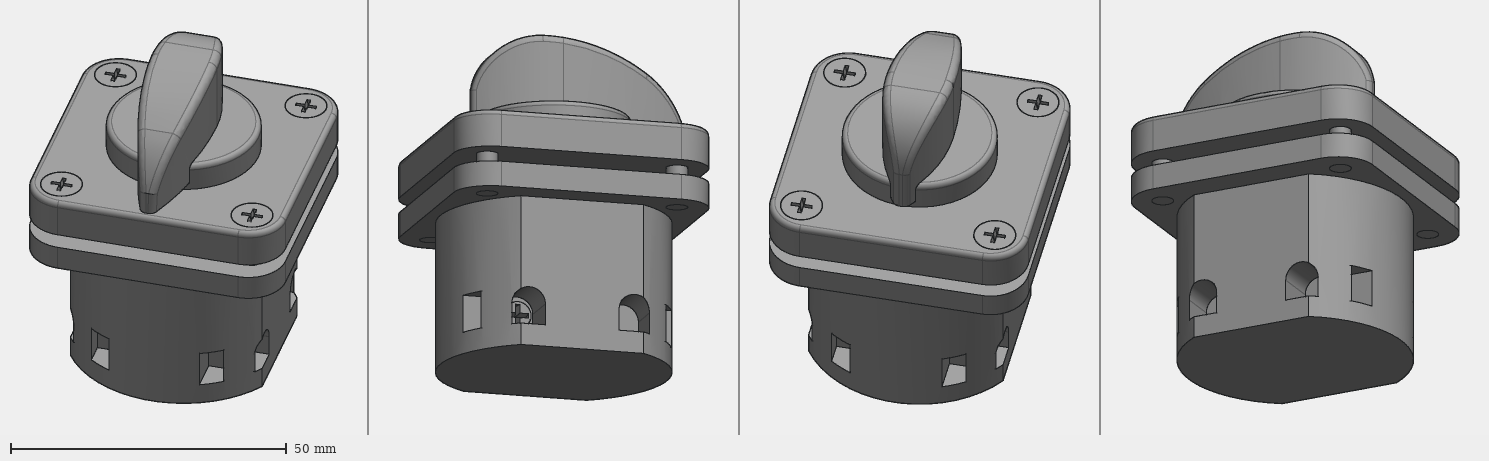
import cadquery as cq
import math

DRUM_TOP = 27.85
FLANGE_THICKNESS = 4.6
FLANGE_TOP = DRUM_TOP + FLANGE_THICKNESS
GAP = 2.8
PANEL_BOTTOM = FLANGE_TOP + GAP
PANEL_THICKNESS = 7.0
PANEL_TOP = PANEL_BOTTOM + PANEL_THICKNESS
DISC_HEIGHT = 5.25
KNOB_CLEARANCE = 1.4
KNOB_BOTTOM = PANEL_TOP + KNOB_CLEARANCE
KNOB_TOP = 61.75

PLATE_SIDE = 48.0
CORNER_RADIUS = 7.0
SCREW_OFFSET = 17.95
SHANK_RADIUS = 2.0
HEAD_RADIUS = 3.75
HEAD_CLEARANCE = 0.05
HEAD_HEIGHT = 2.5
EDGE_FILLET = 1.0

DRUM_RADIUS = 21.5
DRUM_FLATS = 36.2
SHAFT_BOTTOM_RADIUS = 3.95
SHAFT_TOP_RADIUS = 3.0

OPENING_BOTTOM = 4.0
OPENING_HEIGHT = 6.9
OPENING_DEPTH = 8.0
WINDOW_WIDTH = 3.95
WINDOW_OFFSET = 10.5
ARCH_WIDTH = 6.05
ARCH_OFFSET = 10.0
TERMINAL_HEIGHT = 7.4
TERMINAL_RADIUS = 2.55
TERMINAL_LENGTH = 0.6

CROSS_DEPTH = 1.85
CORNER_CROSS_LENGTH = 3.8
CORNER_CROSS_WIDTH = 0.7
TERMINAL_CROSS_LENGTH = 4.0
TERMINAL_CROSS_WIDTH = 0.8

DISC_RADIUS = 14.1
KNOB_HALF_WIDTH = 6.25
KNOB_BACK = 15.75
KNOB_LENGTH_AND_PANEL = 48.5
KNOB_FRONT = -(KNOB_LENGTH_AND_PANEL - PLATE_SIDE / 2)
BACK_SIDE_RADIUS = 26.55
FRONT_SIDE_RADIUS = 61.75
KNOB_FILLET = 1.5
PEAK_Y = 3.6
CREST_BACK_RADIUS = 12.35
CREST_SHOULDER = (-16.6, 56.5)
CREST_NOSE = (-24.25, 47.85)

screw_spots = [(x, y) for x in (-SCREW_OFFSET, SCREW_OFFSET) for y in (-SCREW_OFFSET, SCREW_OFFSET)]


def square_plate(bottom, thickness):
    """Square plate with rounded corners."""
    plate = cq.Workplane("XY", origin=(0, 0, bottom)).rect(PLATE_SIDE, PLATE_SIDE).extrude(thickness)
    return plate.edges("|Z").fillet(CORNER_RADIUS)


def cross_recess(plane, length, width, depth):
    """Cross of two V-grooves that sink below the plane."""
    groove = (
        cq.Workplane("XZ")
        .polyline([(-width / 2, 0), (width / 2, 0), (0, -depth)])
        .close()
        .extrude(length / 2, both=True)
    )
    cross = groove.union(groove.rotate((0, 0, 0), (0, 0, 1), 90))
    return cq.Workplane(cross.val().moved(plane.location))


def window_cutter(x):
    """Rectangular cutter that opens a window in both the -Y and the +Y side of the drum."""
    block = cq.Workplane("XY").box(WINDOW_WIDTH, OPENING_DEPTH, OPENING_HEIGHT)
    y = DRUM_RADIUS - OPENING_DEPTH / 2
    z = OPENING_BOTTOM + OPENING_HEIGHT / 2
    return block.translate((x, y, z)).union(block.translate((x, -y, z)))


def arch_cutter(x_start, y):
    """Round-topped cutter that runs OPENING_DEPTH along +X."""
    spring_height = OPENING_BOTTOM + OPENING_HEIGHT - ARCH_WIDTH / 2
    return (
        cq.Workplane("YZ", origin=(x_start, y, 0))
        .moveTo(-ARCH_WIDTH / 2, OPENING_BOTTOM)
        .lineTo(ARCH_WIDTH / 2, OPENING_BOTTOM)
        .lineTo(ARCH_WIDTH / 2, spring_height)
        .threePointArc((0, OPENING_BOTTOM + OPENING_HEIGHT), (-ARCH_WIDTH / 2, spring_height))
        .close()
        .extrude(OPENING_DEPTH)
    )


def terminal_screw():
    """Screw head on the back wall of one arched opening, and the cross recess to cut into it."""
    wall_x = -DRUM_FLATS / 2 + OPENING_DEPTH
    face_plane = cq.Plane(
        origin=(wall_x - TERMINAL_LENGTH, ARCH_OFFSET, TERMINAL_HEIGHT), xDir=(0, -1, 0), normal=(-1, 0, 0)
    )
    head = cq.Workplane(face_plane).circle(TERMINAL_RADIUS).extrude(-TERMINAL_LENGTH)
    return head, cross_recess(face_plane, TERMINAL_CROSS_LENGTH, TERMINAL_CROSS_WIDTH, CROSS_DEPTH)


def make_housing():
    """Drum with two flats, its flange and the tapered shaft that carries the front panel."""
    drum = cq.Workplane("XY").circle(DRUM_RADIUS).extrude(DRUM_TOP)
    flats = cq.Workplane("XY").rect(DRUM_FLATS, 2 * DRUM_RADIUS).extrude(DRUM_TOP)
    drum = drum.intersect(flats)
    for side in (-1, 1):
        drum = drum.cut(window_cutter(side * WINDOW_OFFSET))
        drum = drum.cut(arch_cutter(-DRUM_FLATS / 2, side * ARCH_OFFSET))
        drum = drum.cut(arch_cutter(DRUM_FLATS / 2 - OPENING_DEPTH, side * ARCH_OFFSET))
    head, recess = terminal_screw()
    drum = drum.union(head).cut(recess)

    flange = square_plate(DRUM_TOP, FLANGE_THICKNESS)
    shank_holes = cq.Workplane("XY", origin=(0, 0, DRUM_TOP)).pushPoints(screw_spots)
    flange = flange.cut(shank_holes.circle(SHANK_RADIUS).extrude(FLANGE_THICKNESS))
    shaft = (
        cq.Workplane("XY", origin=(0, 0, FLANGE_TOP))
        .circle(SHAFT_BOTTOM_RADIUS)
        .workplane(offset=GAP)
        .circle(SHAFT_TOP_RADIUS)
        .loft()
    )
    return drum.union(flange).union(shaft)


def half_width(y, side_radius):
    """Half width of the grip at y, on a side arc that is widest at Y = 0."""
    return KNOB_HALF_WIDTH - side_radius + (side_radius**2 - y**2) ** 0.5


def back_arc_point(angle):
    """Point (Y, Z) on the arc behind the peak of the crest."""
    y = PEAK_Y + CREST_BACK_RADIUS * math.cos(angle)
    return y, KNOB_TOP - CREST_BACK_RADIUS + CREST_BACK_RADIUS * math.sin(angle)


def make_grip():
    """Boat-shaped grip: a plan outline cut to the height of its crest, with rounded edges."""
    back = half_width(KNOB_BACK, BACK_SIDE_RADIUS)
    back_middle = (half_width(KNOB_BACK / 2, BACK_SIDE_RADIUS), KNOB_BACK / 2)
    front = half_width(KNOB_FRONT, FRONT_SIDE_RADIUS)
    front_middle = (half_width(KNOB_FRONT / 2, FRONT_SIDE_RADIUS), KNOB_FRONT / 2)
    plan = (
        cq.Workplane("XY", origin=(0, 0, KNOB_BOTTOM))
        .moveTo(front, KNOB_FRONT)
        .threePointArc(front_middle, (KNOB_HALF_WIDTH, 0))
        .threePointArc(back_middle, (back, KNOB_BACK))
        .lineTo(-back, KNOB_BACK)
        .threePointArc((-back_middle[0], back_middle[1]), (-KNOB_HALF_WIDTH, 0))
        .threePointArc((-front_middle[0], front_middle[1]), (-front, KNOB_FRONT))
        .close()
        .extrude(KNOB_TOP - KNOB_BOTTOM)
    )
    back_angle = math.acos((KNOB_BACK - PEAK_Y) / CREST_BACK_RADIUS)
    middle_angle = (back_angle + math.pi / 2) / 2
    profile = (
        cq.Workplane("YZ")
        .moveTo(KNOB_FRONT, KNOB_BOTTOM)
        .lineTo(KNOB_BACK, KNOB_BOTTOM)
        .lineTo(*back_arc_point(back_angle))
        .threePointArc(back_arc_point(middle_angle), (PEAK_Y, KNOB_TOP))
        .tangentArcPoint(CREST_SHOULDER, relative=False)
        .tangentArcPoint(CREST_NOSE, relative=False)
        .close()
        .extrude(KNOB_HALF_WIDTH, both=True)
    )
    grip = plan.intersect(profile)
    crest_edges = grip.edges("%BSPLINE or %ELLIPSE")
    back_edges = grip.edges("|Z").edges(">Y")
    return crest_edges.add(back_edges).fillet(KNOB_FILLET)


def make_panel():
    """Front panel with the knob on it and counterbored holes for the corner screws."""
    plate = square_plate(PANEL_BOTTOM, PANEL_THICKNESS).faces(">Z").edges().fillet(EDGE_FILLET)
    plate = (
        plate.faces(">Z")
        .workplane(origin=(0, 0, PANEL_TOP))
        .pushPoints(screw_spots)
        .cboreHole(2 * SHANK_RADIUS, 2 * (HEAD_RADIUS + HEAD_CLEARANCE), HEAD_HEIGHT)
    )
    disc = cq.Workplane("XY", origin=(0, 0, PANEL_TOP)).circle(DISC_RADIUS).extrude(DISC_HEIGHT)
    disc = disc.faces(">Z").edges().fillet(EDGE_FILLET)
    return plate.union(disc).union(make_grip())


def make_corner_screw(x, y):
    """Cross-head screw, flush with the panel, whose shank ends level with the flange underside."""
    head_plane = cq.Plane(origin=(x, y, PANEL_TOP))
    head = cq.Workplane(head_plane).circle(HEAD_RADIUS).extrude(-HEAD_HEIGHT)
    shank = cq.Workplane(head_plane).circle(SHANK_RADIUS).extrude(DRUM_TOP - PANEL_TOP)
    recess = cross_recess(head_plane, CORNER_CROSS_LENGTH, CORNER_CROSS_WIDTH, CROSS_DEPTH)
    return head.union(shank).cut(recess)


housing = make_housing()
panel = make_panel()
corner_screws = [make_corner_screw(x, y) for x, y in screw_spots]

result = cq.Compound.makeCompound([housing.val(), panel.val(), *[screw.val() for screw in corner_screws]])